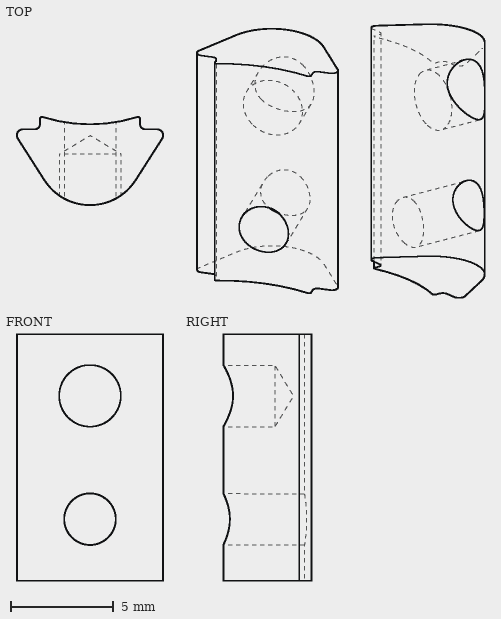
import cadquery as cq
import math

length = 12.0
depth = 4.3
width = 7.125

nose_radius = 2.64
flank_angle = math.radians(56.4)
ear_radius = 0.3
shoulder_drop = 0.6
neck_half_width = 2.44
neck_root_radius = 0.24
neck_crest_radius = 0.11
saddle_depth = 0.36

through_diameter = 2.5
through_height = 3.0
pocket_diameter = 3.0
pocket_height = 9.0
pocket_depth = 2.5
drill_point_angle = math.radians(118)


def point_on_circle(centre, radius, angle):
    """Point at the given angle, measured counter-clockwise from +X."""
    return (centre[0] + radius * math.cos(angle), centre[1] + radius * math.sin(angle))


def mirrored(point):
    return (-point[0], point[1])


def make_bar():
    straight_down = -math.pi / 2
    straight_up = math.pi / 2
    flank_normal = straight_down + flank_angle
    shoulder_y = depth - shoulder_drop

    nose_centre = (0, nose_radius)
    nose_bottom = (0, 0)
    nose_end = point_on_circle(nose_centre, nose_radius, flank_normal)

    ear_centre = (width / 2 - ear_radius, shoulder_y - ear_radius)
    ear_start = point_on_circle(ear_centre, ear_radius, flank_normal)
    ear_tip = point_on_circle(ear_centre, ear_radius, 0)
    ear_end = point_on_circle(ear_centre, ear_radius, straight_up)

    root_centre = (neck_half_width + neck_root_radius, shoulder_y + neck_root_radius)
    root_start = point_on_circle(root_centre, neck_root_radius, straight_down)
    root_mid = point_on_circle(root_centre, neck_root_radius, straight_down - math.pi / 4)
    root_end = point_on_circle(root_centre, neck_root_radius, math.pi)

    crest_centre = (neck_half_width - neck_crest_radius, depth - neck_crest_radius)
    sag_point = (0, depth - saddle_depth)
    crest_rise = crest_centre[1] - sag_point[1]
    saddle_radius = (crest_centre[0] ** 2 + crest_rise**2 - neck_crest_radius**2) / (
        2 * (crest_rise + neck_crest_radius)
    )
    saddle_centre_y = sag_point[1] + saddle_radius
    saddle_normal = math.atan2(saddle_centre_y - crest_centre[1], -crest_centre[0])
    crest_start = point_on_circle(crest_centre, neck_crest_radius, 0)
    crest_mid = point_on_circle(crest_centre, neck_crest_radius, saddle_normal / 2)
    crest_end = point_on_circle(crest_centre, neck_crest_radius, saddle_normal)

    return (
        cq.Workplane("XY")
        .moveTo(*mirrored(nose_end))
        .threePointArc(nose_bottom, nose_end)
        .lineTo(*ear_start)
        .threePointArc(ear_tip, ear_end)
        .lineTo(*root_start)
        .threePointArc(root_mid, root_end)
        .lineTo(*crest_start)
        .threePointArc(crest_mid, crest_end)
        .threePointArc(sag_point, mirrored(crest_end))
        .threePointArc(mirrored(crest_mid), mirrored(crest_start))
        .lineTo(*mirrored(root_end))
        .threePointArc(mirrored(root_mid), mirrored(root_start))
        .lineTo(*mirrored(ear_end))
        .threePointArc(mirrored(ear_tip), mirrored(ear_start))
        .close()
        .extrude(length)
    )


def make_through_hole():
    return (
        cq.Workplane("XZ")
        .center(0, through_height)
        .circle(through_diameter / 2)
        .extrude(-depth)
    )


def make_pocket():
    """Blind drilled hole with a conical bottom, opening on the nose."""
    radius = pocket_diameter / 2
    tip_y = pocket_depth + radius / math.tan(drill_point_angle / 2)
    return (
        cq.Workplane("XY")
        .polyline([(0, 0), (radius, 0), (radius, pocket_depth), (0, tip_y)])
        .close()
        .revolve(360, (0, 0), (0, 1))
        .translate((0, 0, pocket_height))
    )


result = make_bar().cut(make_through_hole()).cut(make_pocket())